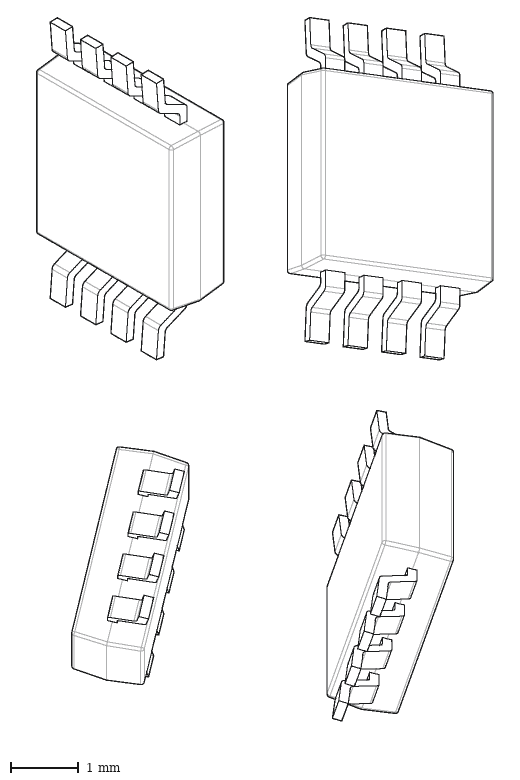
import cadquery as cq
import math

body_side = 3.0
body_depth = 1.1
draft_angle = 5.0
body_edge_radius = 0.05

overall_height = 4.92
leads_per_side = 4
lead_pitch = 0.65
lead_width = 0.33
lead_thickness = 0.15
slope_angle = 25.0
foot_tilt = 4.5
root_height = 1.23
shoulder_height = 1.74
shoulder_radius = 0.075
ankle_inner_radius = 0.075
ankle_outer_radius = 0.09


def make_body():
    """Two drafted halves meeting at the parting plane, with rounded edges."""
    half = cq.Workplane("XZ").rect(body_side, body_side).extrude(body_depth / 2, taper=draft_angle)
    body = half.union(half.mirror("XZ"))
    return body.edges("(not(|X or |Z)) or <Y or >Y").fillet(body_edge_radius)


def mitre_offset(angle_before, angle_after):
    """Offset (Y, Z) from a centreline bend to the outline corner on its +Y side.

    The angles are the lean of the strip from +Z toward -Y before and after the bend.
    """
    middle = math.radians((angle_before + angle_after) / 2)
    half_turn = math.radians((angle_after - angle_before) / 2)
    reach = lead_thickness / 2 / math.cos(half_turn)
    return reach * math.cos(middle), reach * math.sin(middle)


def make_lead():
    """One upper lead, centred on X = 0."""
    slope_lean = 90 - slope_angle
    rise = math.tan(math.radians(slope_angle))
    lean = math.tan(math.radians(foot_tilt))

    tip_offset = mitre_offset(foot_tilt, foot_tilt)
    tip = (-body_depth / 2 + tip_offset[0], overall_height / 2 - tip_offset[1])

    ankle_y = (tip[0] + (tip[1] - shoulder_height) * lean) / (1 - rise * lean)
    ankle = (ankle_y, shoulder_height - ankle_y * rise)

    centreline = [(0, root_height), (0, shoulder_height), ankle, tip]
    offsets = [
        mitre_offset(0, 0),
        mitre_offset(0, slope_lean),
        mitre_offset(slope_lean, foot_tilt),
        tip_offset,
    ]
    upper = [(y + dy, z + dz) for (y, z), (dy, dz) in zip(centreline, offsets)]
    lower = [(y - dy, z - dz) for (y, z), (dy, dz) in zip(centreline, offsets)]
    lead = cq.Workplane("YZ").polyline(upper + lower[::-1]).close().extrude(lead_width / 2, both=True)

    bends = [
        (upper[1], shoulder_radius),
        (lower[1], shoulder_radius),
        (upper[2], ankle_inner_radius),
        (lower[2], ankle_outer_radius),
    ]
    for (y, z), radius in bends:
        lead = lead.edges(cq.selectors.NearestToPointSelector((0, y, z))).fillet(radius)
    return lead


result = make_body()
upper_lead = make_lead()
lower_lead = upper_lead.mirror("XY")
for index in range(leads_per_side):
    lead_x = (index - (leads_per_side - 1) / 2) * lead_pitch
    for lead in (upper_lead, lower_lead):
        result = result.union(lead.translate((lead_x, 0, 0)))